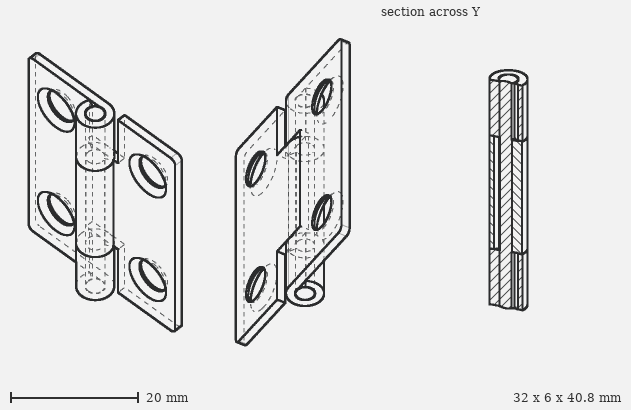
import cadquery as cq
import math

hinge_width = 32.0
hinge_height = 40.0
sheet = 1.5
corner_radius = 1.0
knuckle_clearance = 0.5

pin_radius = 1.5
knuckle_radius = pin_radius + sheet
middle_knuckle_height = 20.0
end_knuckle_height = (hinge_height - middle_knuckle_height) / 2
roll_end_angle = math.radians(29.0)

head_radius = 1.6
head_height = 0.4
head_sphere_radius = (head_radius**2 + head_height**2) / (2 * head_height)

hole_diameter = 5.8
countersink_diameter = 8.0
countersink_angle = 90.0
hole_x = 10.0
hole_spacing_z = 24.0

leaf_edge_x = hinge_width / 2
leaf_inner_x = knuckle_radius + knuckle_clearance
bottom_z = -hinge_height / 2
middle_bottom_z = -middle_knuckle_height / 2
middle_top_z = middle_knuckle_height / 2


def roll_end_point(radius):
    """Point of the rolled edge at a given distance from the pin axis."""
    return (-radius * math.cos(roll_end_angle), radius * math.sin(roll_end_angle))


def make_knuckle(start_z, height):
    """Strip of sheet reaching from the leaf on the -X side and rolled around the pin."""
    return (
        cq.Workplane("XY", origin=(0, 0, start_z))
        .moveTo(-leaf_inner_x, knuckle_radius)
        .lineTo(0, knuckle_radius)
        .threePointArc((0, -knuckle_radius), roll_end_point(knuckle_radius))
        .lineTo(*roll_end_point(pin_radius))
        .threePointArc((0, -pin_radius), (0, pin_radius))
        .lineTo(-leaf_inner_x, pin_radius)
        .close()
        .extrude(height)
    )


def make_leaf(knuckle_spans):
    """Leaf on the -X side with a knuckle on each (start, height) span."""
    plate_width = leaf_edge_x - leaf_inner_x
    leaf = (
        cq.Workplane("XY", origin=(0, 0, bottom_z))
        .moveTo(-leaf_edge_x, pin_radius)
        .rect(plate_width, sheet, centered=False)
        .extrude(hinge_height)
        .edges("|Y and <X")
        .fillet(corner_radius)
    )
    for start_z, height in knuckle_spans:
        leaf = leaf.union(make_knuckle(start_z, height))
    return (
        leaf.copyWorkplane(cq.Workplane("XZ", origin=(0, pin_radius, 0)))
        .pushPoints([(-hole_x, -hole_spacing_z / 2), (-hole_x, hole_spacing_z / 2)])
        .cskHole(hole_diameter, countersink_diameter, countersink_angle)
    )


def make_pin():
    """Pin filling the knuckles, with a domed head resting on each end knuckle."""
    end_z = hinge_height / 2
    tip_z = end_z + head_height
    half_angle = math.asin(head_radius / head_sphere_radius) / 2
    dome_mid_x = head_sphere_radius * math.sin(half_angle)
    dome_mid_z = tip_z - head_sphere_radius * (1 - math.cos(half_angle))
    return (
        cq.Workplane("XZ")
        .moveTo(0, -tip_z)
        .threePointArc((dome_mid_x, -dome_mid_z), (head_radius, -end_z))
        .lineTo(pin_radius, -end_z)
        .lineTo(pin_radius, end_z)
        .lineTo(head_radius, end_z)
        .threePointArc((dome_mid_x, dome_mid_z), (0, tip_z))
        .close()
        .revolve(360, (0, 0, 0), (0, 1, 0))
    )


end_knuckle_leaf = make_leaf([(bottom_z, end_knuckle_height), (middle_top_z, end_knuckle_height)])
middle_knuckle_leaf = make_leaf([(middle_bottom_z, middle_knuckle_height)]).mirror("YZ")
pin = make_pin()

result = cq.Compound.makeCompound([end_knuckle_leaf.val(), middle_knuckle_leaf.val(), pin.val()])